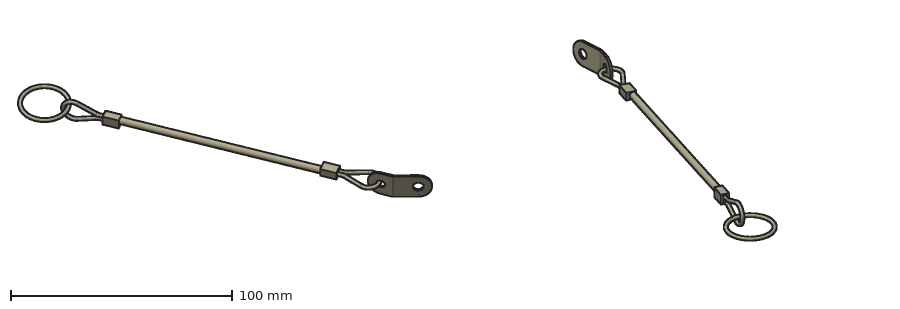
import cadquery as cq
import math

overall_length = 195.7

ring_outer_diameter = 24.0
ring_wire_diameter = 2.0

wire_diameter = 2.0
strand_spacing = 1.88
sleeve_diameter = 3.5
sleeve_length = 96.5
ferrule_length = 7.8
ferrule_width = 5.0
ferrule_thickness = 4.1
ferrule_offset = 0.82
left_ferrule_x = 40.5
strand_stub = 2.0
knee_radius = 4.9
loop_outer_diameter = 12.1
loop_reach = 20.5

tab_width = 12.5
tab_thickness = 1.2
tab_bend_angle = 20.0
tab_bend_inner_radius = 0.5
tab_tip_x = 167.0
tab_bend_x = 178.7
loop_hole_diameter = 4.1
mounting_hole_diameter = 4.9

strand_offset = strand_spacing / 2
right_ferrule_x = left_ferrule_x + 2 * ferrule_length + sleeve_length
loop_radius = (loop_outer_diameter - wire_diameter) / 2
loop_centre = loop_reach - loop_outer_diameter / 2


def make_ring():
    centreline_radius = (ring_outer_diameter - ring_wire_diameter) / 2
    ring = cq.Solid.makeTorus(centreline_radius, ring_wire_diameter / 2)
    return cq.Workplane(ring).translate((ring_outer_diameter / 2, 0, -strand_offset))


def make_wire_loop():
    """Teardrop loop in XY, leaving the ferrule face at X = 0 along +X."""
    knee_centre_y = strand_offset + knee_radius
    centre_distance = math.hypot(loop_centre - strand_stub, knee_centre_y)
    centre_slope = math.atan2(knee_centre_y, loop_centre - strand_stub)
    leg_angle = math.asin((loop_radius + knee_radius) / centre_distance) - centre_slope

    def knee_point(angle):
        return (strand_stub + knee_radius * math.sin(angle), knee_centre_y - knee_radius * math.cos(angle))

    def loop_point(angle):
        return (loop_centre - loop_radius * math.sin(angle), loop_radius * math.cos(angle))

    tip_angle = -math.pi / 2
    path = (
        cq.Workplane("XY")
        .moveTo(0, strand_offset)
        .lineTo(strand_stub, strand_offset)
        .threePointArc(knee_point(leg_angle / 2), knee_point(leg_angle))
        .lineTo(*loop_point(leg_angle))
        .threePointArc(loop_point((leg_angle + tip_angle) / 2), loop_point(tip_angle))
    )
    half_loop = (
        cq.Workplane("YZ")
        .center(strand_offset, 0)
        .circle(wire_diameter / 2)
        .sweep(path)
    )
    return half_loop.union(half_loop.mirror("XZ"))


def make_cable_end():
    """Ferrule and loop pointing along +X, with the cable axis on X."""
    ferrule = (
        cq.Workplane("XY")
        .box(ferrule_length, ferrule_width, ferrule_thickness)
        .translate((-ferrule_length / 2, ferrule_offset, 0))
    )
    return ferrule.union(make_wire_loop().translate((0, strand_offset, 0)))


def make_cable():
    sleeve = (
        cq.Workplane("YZ", origin=(left_ferrule_x + ferrule_length, 0, 0))
        .circle(sleeve_diameter / 2)
        .extrude(sleeve_length)
    )
    right_end = make_cable_end().translate((right_ferrule_x, 0, 0))
    left_end = (
        make_cable_end()
        .rotate((0, 0, 0), (0, 0, 1), 180)
        .rotate((0, 0, 0), (1, 0, 0), 90)
        .translate((left_ferrule_x, 0, 0))
    )
    return sleeve.union(right_end).union(left_end)


def make_tab_arm(length, hole_diameter):
    """Flat arm from X = 0 along +X with a full-round end and a concentric hole."""
    half_width = tab_width / 2
    round_centre = length - half_width
    return (
        cq.Workplane("XZ")
        .moveTo(0, -half_width)
        .lineTo(round_centre, -half_width)
        .threePointArc((length, 0), (round_centre, half_width))
        .lineTo(0, half_width)
        .close()
        .moveTo(round_centre, 0)
        .circle(hole_diameter / 2)
        .extrude(tab_thickness / 2, both=True)
    )


def make_tab():
    bend = math.radians(tab_bend_angle)
    bend_radius = tab_bend_inner_radius + tab_thickness / 2
    bend_end_x = bend_radius * math.sin(bend)
    bend_end_y = bend_radius * (1 - math.cos(bend))

    inner_length = tab_bend_x - tab_tip_x
    inner_arm = make_tab_arm(inner_length, loop_hole_diameter).rotate((0, 0, 0), (0, 0, 1), 180)

    bend_section = (
        cq.Workplane("YZ")
        .rect(tab_thickness, tab_width)
        .revolve(tab_bend_angle, (bend_radius, -2, 0), (bend_radius, 2, 0))
    )

    outer_span = overall_length - tab_bend_x - bend_end_x
    outer_length = (outer_span - tab_thickness / 2 * math.sin(bend)) / math.cos(bend)
    outer_arm = (
        make_tab_arm(outer_length, mounting_hole_diameter)
        .rotate((0, 0, 0), (0, 0, 1), tab_bend_angle)
        .translate((bend_end_x, bend_end_y, 0))
    )
    tab = inner_arm.union(bend_section).union(outer_arm)
    return tab.translate((tab_bend_x, strand_offset, 0))


ring = make_ring()
cable = make_cable()
tab = make_tab()

result = cq.Compound.makeCompound([ring.val(), cable.solids().val(), tab.solids().val()])